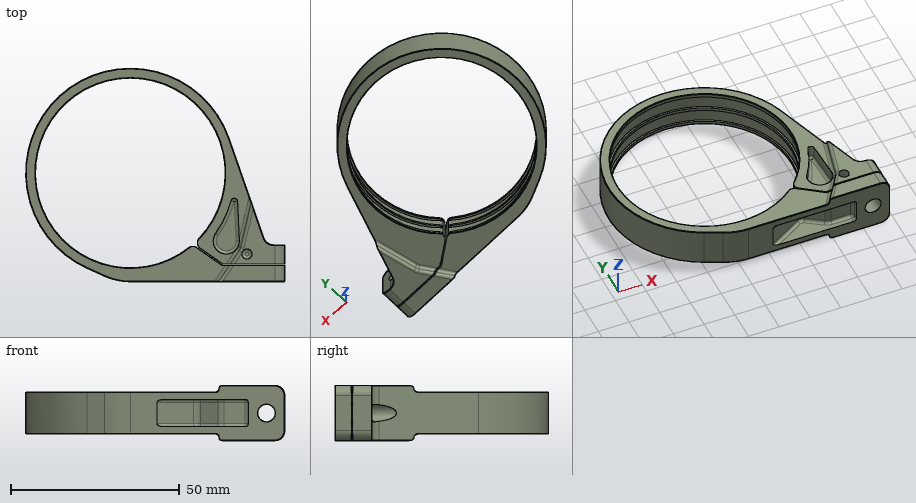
import cadquery as cq
import math

bore_radius = 28.2
ring_radius = 31.15
ring_height = 12.5
lug_height = 16.5
lug_end_x = 45.96
lug_front_y = -32.38
lug_back_y = -21.35
lug_corner_radius = 3.0
edge_break = 0.2

back_flank_angle = 19.2
back_flank_fillet = 3.0
tail_angle = 24.3

step_start = (36.1, -8.2)
step_bend = (32.7, -22.7)
step_end = (26.4, -32.1)
step_bend_radius = 3.0
step_fillet = (lug_height - ring_height) / 4

gap_width = 0.4
gap_y = -27.3
gap_corner_x = 27.4
gap_angle = 35.0
gap_reach = 12.0
gap_mouth_radius = 2.0

groove_width = 4.5
groove_depth = 0.6
rib_width = 1.0

screw_radius = 2.6
screw_x = 40.5

front_pocket_left = 7.9
front_pocket_right = 35.1
front_pocket_height = 8.1
front_pocket_depth = 2.4
front_pocket_bend_x = 26.9
front_pocket_slope = 30.0
front_pocket_valley_x = 19.9
front_pocket_valley_radius = 2.0
front_pocket_bend_radius = 3.3

pocket_fillet = 0.95
teardrop_large_center = (28.55, -20.2)
teardrop_large_radius = 3.9
teardrop_tip_center_y = -8.5
teardrop_tip_radius = 1.0
teardrop_floor_z = 1.6
round_pocket_center = (34.7, -24.1)
round_pocket_radius = 1.5
round_pocket_floor_z = 4.0

margin = 60.0
tolerance = 0.01


def polar(radius, angle):
    """Point at a distance and angle (degrees) from the origin."""
    return radius * math.cos(math.radians(angle)), radius * math.sin(math.radians(angle))


def extrapolate(start, through, extra):
    """Point lying `extra` beyond `through` on the line from `start`."""
    length = math.dist(start, through)
    ratio = 1 + extra / length
    return start[0] + (through[0] - start[0]) * ratio, start[1] + (through[1] - start[1]) * ratio


def prism(outline, height):
    """Extrude a closed outline to a body centred on its plane."""
    return outline.extrude(height / 2, both=True)


def nearest(x, y):
    """Selector for the item closest to a point on the mid plane."""
    return cq.selectors.NearestToPointSelector((x, y, 0))


def outline_body():
    """Ring and lug outline extruded to the full lug height."""
    cos_tail = math.cos(math.radians(tail_angle))
    blend_radius = (ring_radius + lug_front_y * cos_tail) / (1 - cos_tail)
    blend_center_y = lug_front_y + blend_radius
    ring_tail = polar(ring_radius, -90 - tail_angle)
    blend_dx, blend_dy = polar(blend_radius, -90 - tail_angle)
    mid_dx, mid_dy = polar(blend_radius, -90 - tail_angle / 2)

    flank = polar(ring_radius, back_flank_angle)
    flank_foot_x = flank[0] + (flank[1] - lug_back_y) * math.tan(math.radians(back_flank_angle))
    outline = (
        cq.Workplane("XY")
        .moveTo(*flank)
        .lineTo(flank_foot_x, lug_back_y)
        .lineTo(lug_end_x, lug_back_y)
        .lineTo(lug_end_x, lug_front_y)
        .lineTo(0, lug_front_y)
        .threePointArc((mid_dx, blend_center_y + mid_dy), (blend_dx, blend_center_y + blend_dy))
        .lineTo(*ring_tail)
        .threePointArc((-ring_radius, 0), flank)
        .close()
    )
    body = prism(outline, lug_height)
    body = body.edges("|Z").edges(nearest(flank_foot_x, lug_back_y)).fillet(back_flank_fillet)
    body = body.edges("|Y and >X").fillet(lug_corner_radius)
    return body.faces("<Z or >Z").edges("not |Y").chamfer(edge_break)


def step_region(far_x, height):
    """Prism between the step line and a far side, with the bend in the step line rounded."""
    top = extrapolate(step_bend, step_start, margin)
    bottom = extrapolate(step_bend, step_end, margin)
    points = [top, step_bend, bottom, (far_x, bottom[1]), (far_x, top[1])]
    region = prism(cq.Workplane("XY").polyline(points).close(), height)
    return region.edges("|Z").edges(nearest(*step_bend)).fillet(step_bend_radius)


def add_step(body):
    """Lower the ring side to the ring height, with a rounded foot and crest along the step."""
    lowered = step_region(-margin, margin).translate((0, 0, (ring_height + margin) / 2))
    lowered = lowered.faces("<Z").edges().fillet(step_fillet)
    body = body.cut(lowered).cut(lowered.mirror("XY"))
    raised = step_region(margin, lug_height).faces("<Z or >Z").edges().fillet(step_fillet)
    slab = cq.Workplane("XY").box(2 * margin, 2 * margin, ring_height + 2 * step_fillet)
    return body.intersect(slab.union(raised))


def break_ring_edges(body):
    """Chamfer the outer and bore rims of the ring, leaving the foot of the step alone."""
    level = ring_height / 2
    step_box = cq.selectors.BoxSelector((*step_end, -lug_height), (*step_start, lug_height))
    for side in (-level, level):
        low_corner = (-margin, -margin, side - tolerance)
        high_corner = (margin, margin, side + tolerance)
        flat = cq.selectors.BoxSelector(low_corner, high_corner)
        body = body.edges(flat - step_box).chamfer(edge_break)
    return body


def cut_bore(body):
    return body.cut(prism(cq.Workplane("XY").circle(bore_radius), lug_height))


def cut_grooves(body):
    """Two grooves in the bore, one on either side of a middle rib."""
    for side in (-1, 1):
        groove = prism(cq.Workplane("XY").circle(bore_radius + groove_depth), groove_width)
        body = body.cut(groove.translate((0, 0, side * (rib_width + groove_width) / 2)))
    return body


def cut_gap(body):
    """Slit from the lug end, bending towards the bore, with rounded corners at its mouth."""
    slope = math.radians(gap_angle)
    half = gap_width / 2
    shift = half * math.tan(slope / 2)
    rise_x = -gap_reach * math.cos(slope)
    rise_y = gap_reach * math.sin(slope)
    lower = (gap_corner_x - shift, gap_y - half)
    upper = (gap_corner_x + shift, gap_y + half)
    slit = prism(
        cq.Workplane("XY").polyline([
            (lug_end_x + margin, lower[1]),
            lower,
            (lower[0] + rise_x, lower[1] + rise_y),
            (upper[0] + rise_x, upper[1] + rise_y),
            upper,
            (lug_end_x + margin, upper[1]),
        ]).close(),
        lug_height,
    )
    body = body.cut(slit)
    for corner in (lower, upper):
        body = body.edges("|Z").edges(nearest(*slit_mouth(corner, slope))).fillet(gap_mouth_radius)
    return body


def slit_mouth(corner, slope):
    """Point where a slanted slit wall starting at `corner` meets the bore."""
    ux, uy = -math.cos(slope), math.sin(slope)
    along = corner[0] * ux + corner[1] * uy
    square = corner[0] ** 2 + corner[1] ** 2 - bore_radius ** 2
    distance = -along - math.sqrt(along ** 2 - square)
    return corner[0] + distance * ux, corner[1] + distance * uy


def cut_screw_hole(body):
    hole = cq.Workplane("XZ").center(screw_x, 0).circle(screw_radius)
    return body.cut(hole.extrude(margin, both=True))


def cut_front_pocket(body):
    """Pocket with a sloping ramp into a valley, then rising to a flat floor near the screw."""
    slope = math.tan(math.radians(front_pocket_slope))
    floor_y = lug_front_y + front_pocket_depth
    valley_y = lug_front_y + (front_pocket_valley_x - front_pocket_left) * slope
    outside_y = lug_front_y - margin
    outside_x = front_pocket_left - margin / slope
    pocket = prism(
        cq.Workplane("XY").polyline([
            (front_pocket_right, outside_y),
            (front_pocket_right, floor_y),
            (front_pocket_bend_x, floor_y),
            (front_pocket_valley_x, valley_y),
            (outside_x, outside_y),
        ]).close(),
        front_pocket_height,
    )
    for x, y, radius in (
        (front_pocket_valley_x, valley_y, front_pocket_valley_radius),
        (front_pocket_bend_x, floor_y, front_pocket_bend_radius),
    ):
        pocket = pocket.edges("|Z").edges(nearest(x, y)).fillet(radius)
    pocket = pocket.edges("not <Y").edges(">Y or >X or (not |Z)").fillet(pocket_fillet)
    return body.cut(pocket)


def rounded_floor_cut(body, pocket):
    """Remove a pocket whose floor runs into its walls with a fillet."""
    return body.cut(pocket.faces("<Z").edges().fillet(pocket_fillet))


def cut_teardrop(body):
    """Teardrop whose inner wall follows the outer radius of the ring."""
    cx, cy = teardrop_large_center
    wall_radius = math.hypot(cx, cy) - teardrop_large_radius
    tip_distance = wall_radius + teardrop_tip_radius
    tip_y = teardrop_tip_center_y
    tip_x = math.sqrt(tip_distance ** 2 - tip_y ** 2)
    tip_angle = math.degrees(math.atan2(tip_y, tip_x))
    large_angle = math.degrees(math.atan2(cy, cx))

    span = math.dist((cx, cy), (tip_x, tip_y))
    axis_angle = math.degrees(math.atan2(tip_y - cy, tip_x - cx))
    taper = math.degrees(math.asin((teardrop_large_radius - teardrop_tip_radius) / span))
    wall_angle = axis_angle - 90 + taper

    def on_large(angle):
        dx, dy = polar(teardrop_large_radius, angle)
        return cx + dx, cy + dy

    def on_tip(angle):
        dx, dy = polar(teardrop_tip_radius, angle)
        return tip_x + dx, tip_y + dy

    pocket = (
        cq.Workplane("XY", origin=(0, 0, teardrop_floor_z))
        .moveTo(*polar(wall_radius, large_angle))
        .threePointArc(polar(wall_radius, (large_angle + tip_angle) / 2), polar(wall_radius, tip_angle))
        .threePointArc(on_tip(axis_angle), on_tip(wall_angle))
        .lineTo(*on_large(wall_angle))
        .threePointArc(on_large(axis_angle + 180), polar(wall_radius, large_angle))
        .close()
        .extrude(lug_height)
    )
    return rounded_floor_cut(body, pocket)


def cut_round_pocket(body):
    plane = cq.Workplane("XY", origin=(*round_pocket_center, round_pocket_floor_z))
    return rounded_floor_cut(body, plane.circle(round_pocket_radius).extrude(lug_height))


result = outline_body()
result = add_step(result)
result = cut_bore(result)
result = break_ring_edges(result)
result = cut_gap(result)
result = cut_grooves(result)
result = cut_screw_hole(result)
result = cut_front_pocket(result)
result = cut_teardrop(result)
result = cut_round_pocket(result)